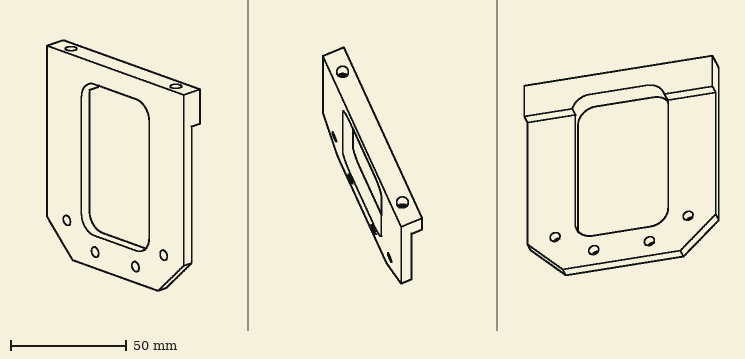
import cadquery as cq
import math

width = 85.0
height = 95.0
plate_thickness = 4.9
corner_cut = 16.0

bar_depth = 10.0
bar_height = 16.0

window_width = 42.0
window_bottom = 15.0
window_top_margin = 10.0
window_radius = 8.0

mount_diameter = 4.5
outer_mount_x = 30.0
outer_mount_z = 17.5
inner_mount_x = 12.5
inner_mount_z = 7.5

top_hole_diameter = 5.0
pilot_diameter = 4.2
top_hole_x = 32.5
top_hole_depth = 10.0
pilot_depth = 12.0
drill_point_angle = 118


def box_between(box_width, depth, bottom, top):
    """Box centred on X, running back from the front face."""
    base = cq.Workplane("XY").workplane(offset=bottom)
    return base.box(box_width, depth, top - bottom, centered=(True, False, False))


def make_body():
    plate = box_between(width, plate_thickness, 0, height)
    plate = plate.edges("|Y and <Z").chamfer(corner_cut)
    bar = box_between(width, bar_depth, height - bar_height, height)
    return plate.union(bar)


def make_window():
    window = box_between(window_width, bar_depth, window_bottom, height - window_top_margin)
    return window.edges("|Y").fillet(window_radius)


def make_mount_holes():
    centers = [
        (side * x, z)
        for side in (-1, 1)
        for x, z in ((outer_mount_x, outer_mount_z), (inner_mount_x, inner_mount_z))
    ]
    return cq.Workplane("XZ").pushPoints(centers).circle(mount_diameter / 2).extrude(-plate_thickness)


def drill_top_holes(body):
    radius = top_hole_diameter / 2
    pilot_radius = pilot_diameter / 2
    tip_depth = pilot_depth + pilot_radius / math.tan(math.radians(drill_point_angle / 2))
    profile = [
        (0, 0),
        (radius, 0),
        (radius, -top_hole_depth),
        (pilot_radius, -top_hole_depth),
        (pilot_radius, -pilot_depth),
        (0, -tip_depth),
    ]
    drill = cq.Workplane("XZ").polyline(profile).close().revolve(360, (0, 0), (0, 1))
    for side in (-1, 1):
        body = body.cut(drill.translate((side * top_hole_x, bar_depth / 2, height)))
    return body


body = make_body().cut(make_window()).cut(make_mount_holes())
result = drill_top_holes(body)